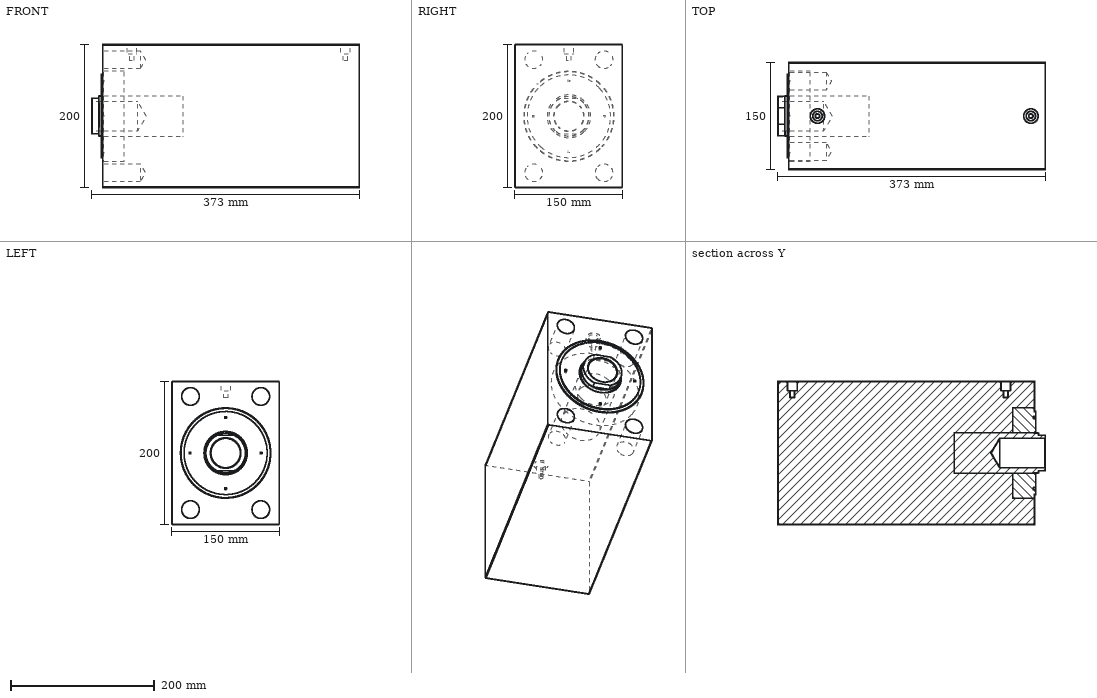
import cadquery as cq
import math

OVERALL_LENGTH = 373.0
ROD_OVERHANG = 15.0
HOUSING_LENGTH = OVERALL_LENGTH - ROD_OVERHANG
HOUSING_WIDTH = 150.0
HOUSING_HEIGHT = 200.0
EDGE_CHAMFER = 1.0

MOUNT_DIAMETER = 24.5
MOUNT_DEPTH = 52.2
MOUNT_SPACING_Y = 98.0
MOUNT_SPACING_Z = 157.8

PORT_FACE_DIAMETER = 20.0
PORT_FACE_DEPTH = 0.5
PORT_BORE_DIAMETER = 13.0
PORT_BORE_DEPTH = 13.0
PORT_PASSAGE_DIAMETER = 6.0
PORT_PASSAGE_DEPTH = 22.5
FIRST_PORT_X = 40.3
PORT_SPACING = 297.5

CAP_DIAMETER = 126.0
CAP_DEPTH = 30.0
CAP_BOSS_DIAMETER = 116.0
CAP_BOSS_HEIGHT = 2.0
CAP_MOUTH_CHAMFER = 2.2
CAP_RIM_CHAMFER = 0.7
SPANNER_HOLE_DIAMETER = 2.5
SPANNER_HOLE_DEPTH = 3.7
SPANNER_CIRCLE_DIAMETER = 99.2
SPANNER_HOLE_COUNT = 4

ROD_DIAMETER = 56.0
ROD_DEPTH = 112.0
ROD_NOSE_DIAMETER = 55.2
ROD_NOSE_LENGTH = 9.5
ROD_SHOULDER_LENGTH = 1.0
FLAT_LENGTH = ROD_NOSE_LENGTH
ACROSS_FLATS = 50.0
ROD_HOLE_DIAMETER = 41.0
ROD_HOLE_DEPTH = 63.5
ROD_HOLE_CHAMFER = 0.7

DRILL_POINT_ANGLE = 118.0

smallest_circle = cq.selectors.RadiusNthSelector(0)


def cylinder_x(diameter, start, end):
    """Cylinder on the X axis between two X positions."""
    return cq.Workplane("YZ", origin=(start, 0, 0)).circle(diameter / 2).extrude(end - start)


def drilled_hole_x(diameter, start, depth):
    """Blind hole on the X axis with a conical drill point beyond its full-diameter depth."""
    radius = diameter / 2
    point_length = radius / math.tan(math.radians(DRILL_POINT_ANGLE / 2))
    return (
        cq.Workplane("XY")
        .moveTo(start, 0)
        .lineTo(start, radius)
        .lineTo(start + depth, radius)
        .lineTo(start + depth + point_length, 0)
        .close()
        .revolve(360, (0, 0, 0), (1, 0, 0))
    )


def make_port(x):
    """Stepped port going down from the top face of the housing."""
    top = cq.Workplane("XY", origin=(x, 0, HOUSING_HEIGHT / 2))
    face = top.circle(PORT_FACE_DIAMETER / 2).extrude(-PORT_FACE_DEPTH)
    bore = top.circle(PORT_BORE_DIAMETER / 2).extrude(-PORT_BORE_DEPTH)
    passage = top.circle(PORT_PASSAGE_DIAMETER / 2).extrude(-PORT_PASSAGE_DEPTH)
    return face.union(bore).union(passage)


def make_housing():
    """Block with chamfered long edges, a cap recess, a rod bore, mounting holes and ports."""
    housing = (
        cq.Workplane("YZ")
        .rect(HOUSING_WIDTH, HOUSING_HEIGHT)
        .extrude(HOUSING_LENGTH)
        .edges("|X")
        .chamfer(EDGE_CHAMFER)
    )
    housing = housing.cut(cylinder_x(CAP_DIAMETER, 0, CAP_DEPTH))
    housing = housing.cut(cylinder_x(ROD_DIAMETER, 0, ROD_DEPTH))
    mount_hole = drilled_hole_x(MOUNT_DIAMETER, 0, MOUNT_DEPTH)
    for side_y in (-1, 1):
        for side_z in (-1, 1):
            place = (0, side_y * MOUNT_SPACING_Y / 2, side_z * MOUNT_SPACING_Z / 2)
            housing = housing.cut(mount_hole.translate(place))
    for port_x in (FIRST_PORT_X, FIRST_PORT_X + PORT_SPACING):
        housing = housing.cut(make_port(port_x))
    return housing


def make_cap():
    """Disc flush with the housing, with a chamfered rim, a raised boss, a rod bore and spanner holes."""
    cap = cylinder_x(CAP_DIAMETER, 0, CAP_DEPTH).faces("<X").chamfer(CAP_RIM_CHAMFER)
    cap = cap.union(cylinder_x(CAP_BOSS_DIAMETER, -CAP_BOSS_HEIGHT, 0))
    cap = cap.cut(cylinder_x(ROD_DIAMETER, -CAP_BOSS_HEIGHT, CAP_DEPTH))
    cap = cap.faces("<X").edges(smallest_circle).chamfer(CAP_MOUTH_CHAMFER)
    spanner_holes = (
        cq.Workplane("YZ", origin=(-CAP_BOSS_HEIGHT, 0, 0))
        .polarArray(SPANNER_CIRCLE_DIAMETER / 2, 0, 360, SPANNER_HOLE_COUNT)
        .circle(SPANNER_HOLE_DIAMETER / 2)
        .extrude(SPANNER_HOLE_DEPTH)
    )
    return cap.cut(spanner_holes)


def make_rod():
    """Rod with a reduced nose, a tapered shoulder, two wrench flats and a chamfered blind hole."""
    rod_end = -ROD_OVERHANG
    nose_end = rod_end + ROD_NOSE_LENGTH
    rod = (
        cq.Workplane("XY")
        .moveTo(rod_end, 0)
        .lineTo(rod_end, ROD_NOSE_DIAMETER / 2)
        .lineTo(nose_end, ROD_NOSE_DIAMETER / 2)
        .lineTo(nose_end + ROD_SHOULDER_LENGTH, ROD_DIAMETER / 2)
        .lineTo(ROD_DEPTH, ROD_DIAMETER / 2)
        .lineTo(ROD_DEPTH, 0)
        .close()
        .revolve(360, (0, 0, 0), (1, 0, 0))
    )
    flat_waste = (
        cq.Workplane("YZ", origin=(rod_end, 0, 0))
        .rect(ROD_DIAMETER, ROD_DIAMETER)
        .rect(ROD_DIAMETER, ACROSS_FLATS)
        .extrude(FLAT_LENGTH)
    )
    rod = rod.cut(flat_waste)
    rod = rod.cut(drilled_hole_x(ROD_HOLE_DIAMETER, rod_end, ROD_HOLE_DEPTH))
    return rod.faces("<X").edges(smallest_circle).chamfer(ROD_HOLE_CHAMFER)


housing = make_housing()
cap = make_cap()
rod = make_rod()

result = cq.Compound.makeCompound([housing.val(), cap.val(), rod.val()])